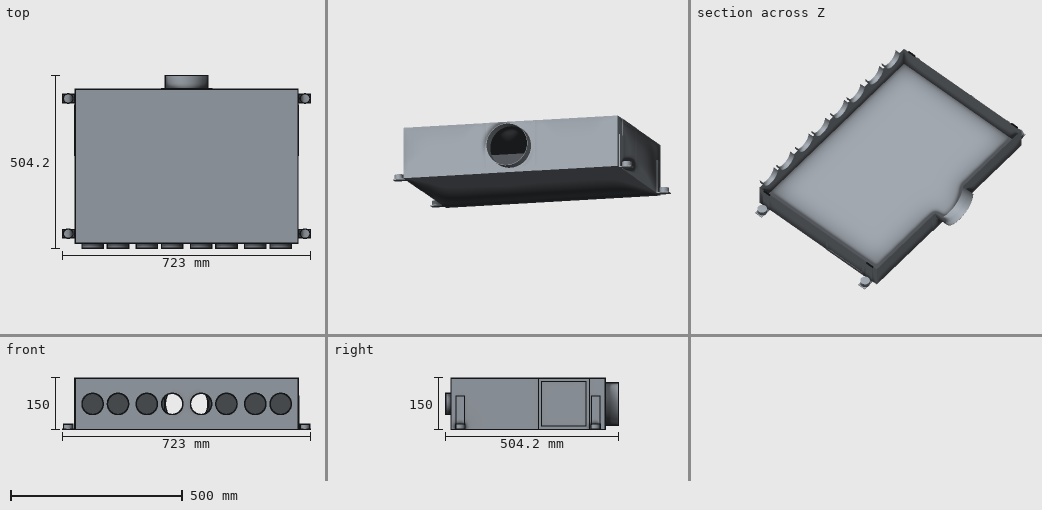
import cadquery as cq

casing_width = 650.0
casing_depth = 450.0
casing_height = 150.0
sheet = 1.2
mid_height = casing_height / 2

port_size = 130.0
port_bottom = mid_height - port_size / 2
cover_width = 148.0
cover_thickness = sheet
side_port_y = 329.5

main_spigot_diameter = 125.0
main_spigot_length = 38.0
branch_spigot_diameter = 63.0
branch_spigot_length = 15.0
spigot_wall = sheet
branch_pair_pitch = 74.0
branch_group_pitch = 158.0
branch_group_count = 4

foot_span = 723.0
foot_width = 25.0
foot_height = 98.0
foot_thickness = 2.5
foot_end_inset = 28.0
pad_diameter = 28.0
pad_top = 16.0
pad_x = 345.0


def plate(x_size, y_size, z_size, x, y, z):
    """Box centred on X and Y at (x, y), with its underside at z."""
    return cq.Workplane("XY").box(x_size, y_size, z_size, centered=(True, True, False)).translate((x, y, z))


def y_cylinder(diameter, x, y_start, y_end):
    """Cylinder along Y at mid height, from y_start to y_end."""
    length = y_end - y_start
    circle = cq.Workplane("XZ", origin=(x, y_start, mid_height)).circle(diameter / 2)
    return circle.extrude(-length)


def make_casing():
    outer = plate(casing_width, casing_depth, casing_height, 0, casing_depth / 2, 0)
    cavity = plate(
        casing_width - 2 * sheet,
        casing_depth - 2 * sheet,
        casing_height - 2 * sheet,
        0,
        casing_depth / 2,
        sheet,
    )
    return outer.cut(cavity)


def add_side_cover(body, side):
    """Cover frame on one side wall, leaving a shallow square recess."""
    x = side * (casing_width + cover_thickness) / 2
    frame = plate(cover_thickness, cover_width, casing_height, x, side_port_y, 0)
    recess = plate(cover_thickness, port_size, port_size, x, side_port_y, port_bottom)
    return body.union(frame.cut(recess))


def add_main_spigot(body):
    """Rear cover plate with the large spigot over the square rear port."""
    cover_rear = casing_depth + cover_thickness
    spigot_end = cover_rear + main_spigot_length
    bore_diameter = main_spigot_diameter - 2 * spigot_wall
    port = plate(port_size, sheet, port_size, 0, casing_depth - sheet / 2, port_bottom)
    cover = plate(cover_width, cover_thickness, casing_height, 0, casing_depth + cover_thickness / 2, 0)
    spigot = y_cylinder(main_spigot_diameter, 0, casing_depth, spigot_end)
    bore = y_cylinder(bore_diameter, 0, casing_depth, spigot_end)
    return body.cut(port).union(cover).union(spigot).cut(bore)


def add_branch_spigot(body, x):
    bore_diameter = branch_spigot_diameter - 2 * spigot_wall
    tube = y_cylinder(branch_spigot_diameter, x, -branch_spigot_length, sheet)
    bore = y_cylinder(bore_diameter, x, -branch_spigot_length, sheet)
    return body.union(tube).cut(bore)


def add_foot(body, side, y):
    """L-shaped bracket on a side wall, with a round pad on its lower leg."""
    wall_x = casing_width / 2
    leg_length = foot_span / 2 - wall_x
    upright = plate(foot_thickness, foot_width, foot_height, side * (wall_x + foot_thickness / 2), y, 0)
    leg = plate(leg_length, foot_width, foot_thickness, side * (wall_x + leg_length / 2), y, 0)
    pad = cq.Workplane("XY", origin=(side * pad_x, y, 0)).circle(pad_diameter / 2).extrude(pad_top)
    return body.union(upright).union(leg).union(pad)


result = make_casing()
result = add_main_spigot(result)
for group in range(branch_group_count):
    group_x = (group - (branch_group_count - 1) / 2) * branch_group_pitch
    for pair_side in (-1, 1):
        result = add_branch_spigot(result, group_x + pair_side * branch_pair_pitch / 2)
for side in (-1, 1):
    result = add_side_cover(result, side)
    for foot_y in (foot_end_inset, casing_depth - foot_end_inset):
        result = add_foot(result, side, foot_y)